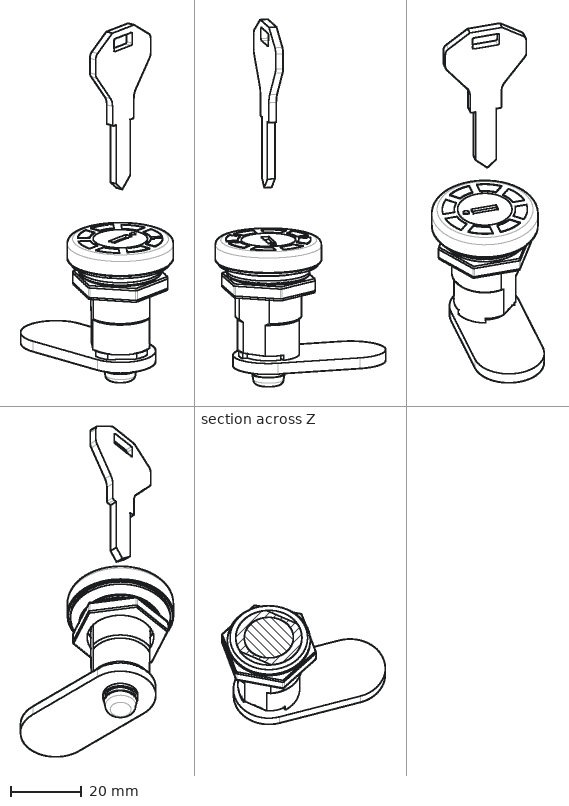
import cadquery as cq
import math


OVERALL_LENGTH = 49.0
OVERALL_HEIGHT = 105.3

HEAD_DIAMETER = 30.0
HEAD_RADIUS = HEAD_DIAMETER / 2
HEAD_TOP = 42.3
HEAD_BOTTOM = 36.2
HEAD_TOP_FILLET = 1.5
HEAD_BOTTOM_CHAMFER = 0.3
SEAT_RADIUS = 14.1
SEAT_BOTTOM = 35.4

PAD_COUNT = 8
PAD_PITCH = 360 / PAD_COUNT
PAD_HEIGHT = 0.2
PAD_RECESS = 0.1
PAD_INNER_RADIUS = 8.6
PAD_OUTER_RADIUS = 12.0
PAD_GAP = 2.2

SHANK_UPPER_RADIUS = 9.4
SHANK_LOWER_RADIUS = 8.7
SHANK_STEP_TOP = 20.2
SHANK_STEP_BOTTOM = 19.6
SHANK_BOTTOM = 10.6
FLAT_DISTANCE = 8.0
FLAT_DIRECTION = 45.0

SKIRT_DIRECTION = 135.0
SKIRT_SWEEP = 60.0
SKIRT_CLEARANCE = 0.3
LUG_DIRECTION = SKIRT_DIRECTION + 180
LUG_SWEEP = 120.0
LUG_RADIUS = 8.4
LUG_FLAT_DISTANCE = 7.4

PLUG_FACE_RADIUS = 7.7
PLUG_RADIUS = 6.8
KEYWAY_LENGTH = 7.4
KEYWAY_DEPTH = 0.8
DOT_DIAMETER = 1.7
DOT_DEPTH = 0.8
DOT_OFFSET = 5.5

TAIL_RADIUS = 5.0
TAIL_BOTTOM = 4.7
TAIL_GROOVE_RADIUS = 4.3
TAIL_RIM_RADIUS = 4.6
TAIL_RIM_Z = 3.4
TAIL_DOME_Z = 1.8
CROWN_RADIUS = 3.0
CROWN_HEIGHT = 0.3

CAM_TOP = 8.8
CAM_THICKNESS = 3.2
CAM_BOTTOM = CAM_TOP - CAM_THICKNESS
CAM_END_RADIUS = 10.0
CAM_CENTRE_DISTANCE = OVERALL_LENGTH - HEAD_RADIUS - CAM_END_RADIUS

NUT_ACROSS_FLATS = 23.8
NUT_TOP = 31.9
NUT_BOTTOM = 27.8
NUT_CHAMFER_HEIGHT = 0.6
NUT_CHAMFER_INSET = 0.2
NUT_CORNER_FILLET = 0.5

WASHER_TOP = 34.4
WASHER_BULGE_Z = 33.3
WASHER_LOWER_Z = 32.5
WASHER_BULGE_RADIUS = 11.7
WASHER_FACE_RADIUS = 11.0

KEY_THICKNESS = 2.2
BOW_WIDTH = 23.8
BOW_TOP_WIDTH = 9.5
BOW_UPPER_CORNER_Z = 100.3
BOW_LOWER_CORNER_Z = 94.2
BOW_CORNER_FILLET = 2.0
KEY_NECK_WIDTH = 9.3
KEY_NECK_TOP = 84.9
KEY_NECK_BOTTOM = 77.4
KEY_NECK_TOP_FILLET = 4.2
KEY_NECK_BOTTOM_FILLET = 0.5
BLADE_WIDTH = 6.1
BLADE_FRONT_END_Z = 59.8
BLADE_REAR_END_Z = 60.8
BLADE_TIP_Y = -0.4
BLADE_TIP_Z = 57.4
KEY_HOLE_WIDTH = 7.9
KEY_HOLE_HEIGHT = 3.8
KEY_HOLE_BOTTOM = 99.5
KEY_HOLE_FILLET = 0.5


def cylinder(radius, bottom, top):
    """Upright cylinder on the lock axis."""
    return cq.Workplane("XY").workplane(offset=bottom).circle(radius).extrude(top - bottom)


def ring_sector(inner, outer, start_angle, sweep, bottom, top):
    """Upright sector of a ring, swept counterclockwise from start_angle in degrees."""
    def point(radius, angle):
        return (radius * math.cos(math.radians(angle)), radius * math.sin(math.radians(angle)))

    middle_angle = start_angle + sweep / 2
    end_angle = start_angle + sweep
    return (
        cq.Workplane("XY").workplane(offset=bottom)
        .moveTo(*point(inner, start_angle))
        .lineTo(*point(outer, start_angle))
        .threePointArc(point(outer, middle_angle), point(outer, end_angle))
        .lineTo(*point(inner, end_angle))
        .threePointArc(point(inner, middle_angle), point(inner, start_angle))
        .close()
        .extrude(top - bottom)
    )


def trim_to_flat(body, distance, direction, bottom, top):
    """Cut away what lies beyond a flat at the given distance and direction from the axis."""
    size = 2 * HEAD_DIAMETER
    waste = (
        cq.Workplane("XY").workplane(offset=bottom)
        .center(distance + size / 2, 0)
        .rect(size, size)
        .extrude(top - bottom)
        .rotate((0, 0, 0), (0, 0, 1), direction)
    )
    return body.cut(waste)


def make_head():
    head = cylinder(HEAD_RADIUS, HEAD_BOTTOM, HEAD_TOP)
    head = head.faces(">Z").edges().fillet(HEAD_TOP_FILLET)
    head = head.faces("<Z").edges().chamfer(HEAD_BOTTOM_CHAMFER)
    return head.union(cylinder(SEAT_RADIUS, SEAT_BOTTOM, HEAD_BOTTOM))


def make_pads(start_angle, bottom, top):
    """Two opposite pairs of pads, each pair starting at start_angle, parted by straight gaps."""
    pads = None
    for side in (0, 180):
        pair = ring_sector(
            PAD_INNER_RADIUS, PAD_OUTER_RADIUS, start_angle + side, 2 * PAD_PITCH, bottom, top
        )
        pads = pair if pads is None else pads.union(pair)
    for index in range(PAD_COUNT // 2):
        gap = (
            cq.Workplane("XY").workplane(offset=bottom)
            .rect(HEAD_DIAMETER, PAD_GAP)
            .extrude(top - bottom)
            .rotate((0, 0, 0), (0, 0, 1), index * PAD_PITCH)
        )
        pads = pads.cut(gap)
    return pads


def make_shank():
    shank = (
        cq.Workplane("XZ")
        .moveTo(0, SEAT_BOTTOM)
        .lineTo(SHANK_UPPER_RADIUS, SEAT_BOTTOM)
        .lineTo(SHANK_UPPER_RADIUS, SHANK_STEP_TOP)
        .lineTo(SHANK_LOWER_RADIUS, SHANK_STEP_BOTTOM)
        .lineTo(SHANK_LOWER_RADIUS, SHANK_BOTTOM)
        .lineTo(0, SHANK_BOTTOM)
        .close()
        .revolve(360, (0, 0, 0), (0, 1, 0))
    )
    for direction in (FLAT_DIRECTION, FLAT_DIRECTION + 180):
        shank = trim_to_flat(shank, FLAT_DISTANCE, direction, SHANK_BOTTOM, SEAT_BOTTOM)
    return shank


def make_skirt():
    """Sector below the shank, flush with it, whose ends stop the plug lug."""
    return ring_sector(
        PLUG_RADIUS, SHANK_LOWER_RADIUS, SKIRT_DIRECTION - SKIRT_SWEEP / 2, SKIRT_SWEEP,
        CAM_TOP + SKIRT_CLEARANCE, SHANK_BOTTOM,
    )


def make_housing():
    raised_pads = make_pads(-PAD_PITCH, HEAD_TOP, HEAD_TOP + PAD_HEIGHT)
    sunk_pads = make_pads(PAD_PITCH, HEAD_TOP - PAD_RECESS, HEAD_TOP)
    housing = make_head().union(raised_pads).cut(sunk_pads).union(make_shank())
    housing = housing.cut(cylinder(PLUG_RADIUS, SHANK_BOTTOM, HEAD_BOTTOM))
    housing = housing.cut(cylinder(PLUG_FACE_RADIUS, HEAD_BOTTOM, HEAD_TOP))
    return housing.union(make_skirt())


def make_tail():
    """Domed tail with a groove, from the tip up to the top of the cam."""
    shoulder = 1 / math.sqrt(2)
    dome_middle = (
        CROWN_RADIUS + (TAIL_GROOVE_RADIUS - CROWN_RADIUS) * shoulder,
        TAIL_DOME_Z - (TAIL_DOME_Z - CROWN_HEIGHT) * shoulder,
    )
    return (
        cq.Workplane("XZ")
        .moveTo(0, 0)
        .threePointArc((CROWN_RADIUS / 2, CROWN_HEIGHT / 4), (CROWN_RADIUS, CROWN_HEIGHT))
        .threePointArc(dome_middle, (TAIL_GROOVE_RADIUS, TAIL_DOME_Z))
        .lineTo(TAIL_RIM_RADIUS, TAIL_RIM_Z)
        .lineTo(TAIL_GROOVE_RADIUS, TAIL_RIM_Z)
        .lineTo(TAIL_GROOVE_RADIUS, TAIL_BOTTOM)
        .lineTo(TAIL_RADIUS, TAIL_BOTTOM)
        .lineTo(TAIL_RADIUS, CAM_TOP)
        .lineTo(0, CAM_TOP)
        .close()
        .revolve(360, (0, 0, 0), (0, 1, 0))
    )


def make_stop_lug():
    """Lug that turns against the ends of the housing skirt, with a flat across its middle."""
    lug = ring_sector(
        PLUG_RADIUS, LUG_RADIUS, LUG_DIRECTION - LUG_SWEEP / 2, LUG_SWEEP, CAM_TOP, SHANK_BOTTOM
    )
    return trim_to_flat(lug, LUG_FLAT_DISTANCE, LUG_DIRECTION, CAM_TOP, SHANK_BOTTOM)


def make_plug():
    plug = cylinder(PLUG_RADIUS, CAM_TOP, HEAD_BOTTOM)
    plug = plug.union(cylinder(PLUG_FACE_RADIUS, HEAD_BOTTOM, HEAD_TOP))
    plug = plug.union(make_tail()).union(make_stop_lug())
    keyway = (
        cq.Workplane("XY").workplane(offset=HEAD_TOP - KEYWAY_DEPTH)
        .rect(KEY_THICKNESS, KEYWAY_LENGTH)
        .extrude(KEYWAY_DEPTH)
    )
    dot = (
        cq.Workplane("XY").workplane(offset=HEAD_TOP - DOT_DEPTH)
        .center(0, DOT_OFFSET)
        .circle(DOT_DIAMETER / 2)
        .extrude(DOT_DEPTH)
    )
    return plug.cut(keyway).cut(dot)


def make_cam():
    cam = (
        cq.Workplane("XY").workplane(offset=CAM_BOTTOM)
        .center(-CAM_CENTRE_DISTANCE / 2, 0)
        .slot2D(CAM_CENTRE_DISTANCE + 2 * CAM_END_RADIUS, 2 * CAM_END_RADIUS)
        .extrude(CAM_THICKNESS)
    )
    return cam.cut(cylinder(TAIL_RADIUS, CAM_BOTTOM, CAM_TOP))


def make_nut():
    """Hex nut with two corners on the Y axis."""
    across_corners = NUT_ACROSS_FLATS / math.cos(math.radians(30))
    nut = (
        cq.Workplane("XY").workplane(offset=NUT_BOTTOM)
        .polygon(6, across_corners)
        .extrude(NUT_TOP - NUT_BOTTOM)
        .rotate((0, 0, 0), (0, 0, 1), 90)
        .edges("|Z").fillet(NUT_CORNER_FILLET)
        .faces("<Z or >Z").edges().chamfer(NUT_CHAMFER_HEIGHT, NUT_CHAMFER_INSET)
    )
    return nut.cut(cylinder(SHANK_UPPER_RADIUS, NUT_BOTTOM, NUT_TOP))


def make_washer():
    """Washer with a bulging rim and a narrower foot resting on the nut."""
    return (
        cq.Workplane("XZ")
        .moveTo(SHANK_UPPER_RADIUS, NUT_TOP)
        .lineTo(WASHER_FACE_RADIUS, NUT_TOP)
        .lineTo(WASHER_FACE_RADIUS, WASHER_LOWER_Z)
        .lineTo(WASHER_BULGE_RADIUS, WASHER_LOWER_Z)
        .lineTo(WASHER_BULGE_RADIUS, WASHER_BULGE_Z)
        .lineTo(WASHER_FACE_RADIUS, WASHER_TOP)
        .lineTo(SHANK_UPPER_RADIUS, WASHER_TOP)
        .close()
        .revolve(360, (0, 0, 0), (0, 1, 0))
    )


def make_key():
    """Flat key standing above the lock, lying in the YZ plane."""
    def plate(*points):
        outline = cq.Workplane("YZ").polyline(points).close()
        return outline.extrude(KEY_THICKNESS / 2, both=True)

    def round_corners(body, half_width, z, radius):
        for y in (-half_width, half_width):
            corner = cq.selectors.NearestToPointSelector((0, y, z))
            body = body.edges("|X").edges(corner).fillet(radius)
        return body

    bow_half = BOW_WIDTH / 2
    bow_top_half = BOW_TOP_WIDTH / 2
    neck_half = KEY_NECK_WIDTH / 2
    blade_half = BLADE_WIDTH / 2
    key = plate(
        (-bow_top_half, OVERALL_HEIGHT),
        (bow_top_half, OVERALL_HEIGHT),
        (bow_half, BOW_UPPER_CORNER_Z),
        (bow_half, BOW_LOWER_CORNER_Z),
        (neck_half, KEY_NECK_TOP),
        (neck_half, KEY_NECK_BOTTOM),
        (blade_half, KEY_NECK_BOTTOM),
        (blade_half, BLADE_REAR_END_Z),
        (BLADE_TIP_Y, BLADE_TIP_Z),
        (-blade_half, BLADE_FRONT_END_Z),
        (-blade_half, KEY_NECK_BOTTOM),
        (-neck_half, KEY_NECK_BOTTOM),
        (-neck_half, KEY_NECK_TOP),
        (-bow_half, BOW_LOWER_CORNER_Z),
        (-bow_half, BOW_UPPER_CORNER_Z),
    )
    key = round_corners(key, bow_half, BOW_UPPER_CORNER_Z, BOW_CORNER_FILLET)
    key = round_corners(key, bow_half, BOW_LOWER_CORNER_Z, BOW_CORNER_FILLET)
    key = round_corners(key, neck_half, KEY_NECK_TOP, KEY_NECK_TOP_FILLET)
    key = round_corners(key, neck_half, KEY_NECK_BOTTOM, KEY_NECK_BOTTOM_FILLET)
    hole = (
        cq.Workplane("YZ")
        .center(0, KEY_HOLE_BOTTOM + KEY_HOLE_HEIGHT / 2)
        .rect(KEY_HOLE_WIDTH, KEY_HOLE_HEIGHT)
        .extrude(KEY_THICKNESS / 2, both=True)
        .edges("|X").fillet(KEY_HOLE_FILLET)
    )
    return key.cut(hole)


housing = make_housing()
plug = make_plug()
cam = make_cam()
nut = make_nut()
washer = make_washer()
key = make_key()

result = cq.Compound.makeCompound([
    *housing.solids().vals(),
    *plug.solids().vals(),
    *cam.solids().vals(),
    *nut.solids().vals(),
    *washer.solids().vals(),
    *key.solids().vals(),
])